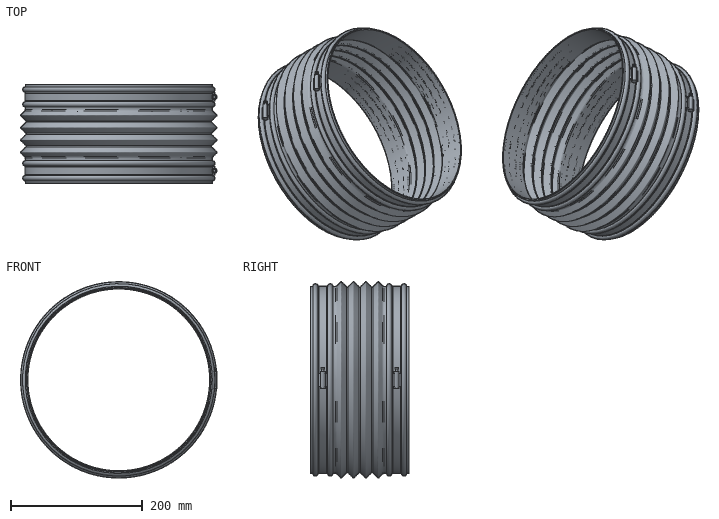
import cadquery as cq
import math

length = 150.0
tube_outer_radius = 142.0
wall = 2.0
tube_inner_radius = tube_outer_radius - wall

fold_count = 4
fold_pitch = length / 8
crest_fillet = 1.0
root_fillet = 1.5
foot_fillet = 3.0
crest_radius = 297.91 / 2
rounding_loss = crest_fillet * (math.sqrt(2) - 1)
peak_radius = crest_radius + rounding_loss
valley_radius = peak_radius - fold_pitch / 2
first_peak = fold_pitch * (fold_count - 1) / 2
radial_wall = wall * math.sqrt(2)

bead_radius = 4.0
clamp_position = 56.0
bead_offset = 11.25

band_width = 11.0
band_thickness = 0.3
lug_width = 13.0
lug_height = 20.0
lug_face = 145.8
barrel_diameter = 7.8
barrel_length = 26.0
bolt_diameter = 4.0
bolt_head_diameter = 5.5
bolt_head_height = 2.3
bolt_top = 18.5


def wall_line(peak, valley, tube_radius):
    """Sharp-cornered points (radius, y) along one wall surface, from the -Y end to the +Y end."""
    foot = first_peak + peak - tube_radius
    points = [(tube_radius, -length / 2), (tube_radius, -foot)]
    for fold in range(fold_count):
        peak_y = fold * fold_pitch - first_peak
        points.append((peak, peak_y))
        if fold < fold_count - 1:
            points.append((valley, peak_y + fold_pitch / 2))
    points += [(tube_radius, foot), (tube_radius, length / 2)]
    return points


def edges_near(body, y):
    """Edges of the body less than a quarter pitch away from y."""
    reach = 2 * peak_radius
    low = (-reach, y - fold_pitch / 4, -reach)
    high = (reach, y + fold_pitch / 4, reach)
    return body.edges(cq.selectors.BoxSelector(low, high, boundingbox=True))


def make_tube():
    outer = wall_line(peak_radius, valley_radius, tube_outer_radius)
    inner = wall_line(peak_radius - radial_wall, valley_radius - radial_wall, tube_inner_radius)
    profile = cq.Workplane("XY").polyline(outer + inner[::-1]).close()
    tube = profile.revolve(360, (0, 0, 0), (0, 1, 0))

    for fold in range(fold_count):
        peak_y = fold * fold_pitch - first_peak
        tube = edges_near(tube, peak_y).fillet(crest_fillet)
        if fold < fold_count - 1:
            tube = edges_near(tube, peak_y + fold_pitch / 2).fillet(root_fillet)
    for side in (-1, 1):
        tube = edges_near(tube, side * (first_peak + fold_pitch / 2)).fillet(foot_fillet)
    return tube


def make_disc(radius, y, width):
    """Solid disc about the Y axis, centred on y."""
    return cq.Workplane("XZ", origin=(0, y, 0)).circle(radius).extrude(width / 2, both=True)


def make_pin(x, y, diameter, bottom, top):
    """Cylinder parallel to Z."""
    return cq.Workplane("XY", origin=(x, y, bottom)).circle(diameter / 2).extrude(top - bottom)


def make_bead(y):
    """Half-round bead whose flat side is sunk halfway into the wall."""
    root = tube_outer_radius - wall / 2
    profile = (
        cq.Workplane("XY")
        .moveTo(root, y - bead_radius)
        .lineTo(tube_outer_radius, y - bead_radius)
        .threePointArc((tube_outer_radius + bead_radius, y), (tube_outer_radius, y + bead_radius))
        .lineTo(root, y + bead_radius)
        .close()
    )
    return profile.revolve(360, (0, 0, 0), (0, 1, 0))


def make_clamp(y):
    lug = cq.Workplane("XY").box(lug_face, lug_width, lug_height, centered=(False, True, True))
    lug = lug.translate((0, y, 0))
    barrel_x = crest_radius - barrel_diameter / 2
    barrel = make_pin(barrel_x, y, barrel_diameter, -barrel_length / 2, barrel_length / 2)
    bolt = make_pin(barrel_x, y, bolt_diameter, 0, bolt_top)
    bolt_head = make_pin(barrel_x, y, bolt_head_diameter, bolt_top - bolt_head_height, bolt_top)
    clamp = make_disc(tube_outer_radius + band_thickness, y, band_width)
    clamp = clamp.union(lug).union(barrel).union(bolt).union(bolt_head)
    return clamp.cut(make_disc(tube_outer_radius - wall / 2, y, lug_width))


result = make_tube()
for side in (-1, 1):
    clamp_y = side * clamp_position
    result = result.union(make_bead(clamp_y - bead_offset))
    result = result.union(make_bead(clamp_y + bead_offset))
    result = result.union(make_clamp(clamp_y))